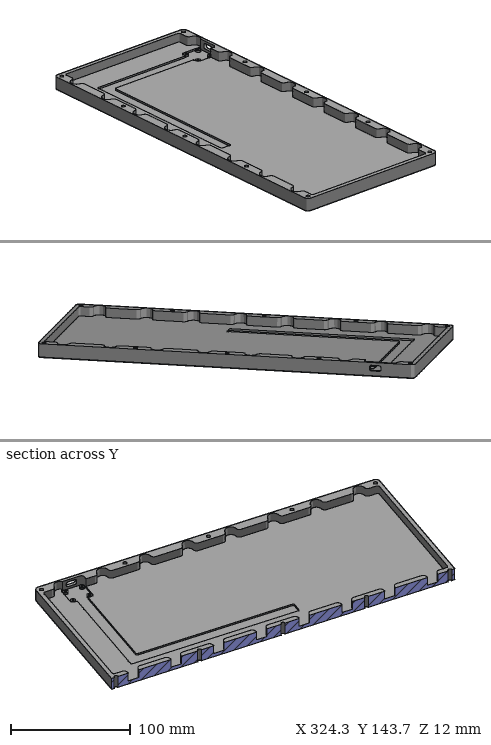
import cadquery as cq

length = 324.3
width = 143.7
height = 12.0
corner_radius = 3.5
bottom_chamfer = 0.5

floor_height = 4.0
end_wall = 4.0
pocket_corner_radius = 1.5
rail_width = 8.8
pocket_length = length - 2 * end_wall
pocket_width = width - 2 * rail_width

scallop_count = 8
scallop_span = 282.5
scallop_pitch = scallop_span / (scallop_count - 1)
scallop_radius = 5.2
scallop_wall = 1.3
mouth_radius = 3.2

screw_diameter = 3.2
screw_inset = 4.5
screw_columns = 5
screw_pitch = (length - 2 * screw_inset) / (screw_columns - 1)

recess_depth = 1.5
recess_floor = floor_height - recess_depth
connector_x = -128.5
connector_length = 21.0
connector_width = 20.0
connector_corner_radius = 2.5
connector_back_wall = 3.0
connector_back = width / 2 - connector_back_wall
connector_y = connector_back - connector_width / 2
channel_width = 10.5
channel_corner_radius = 1.0
channel_end_x = 25.3
channel_bottom_y = -48.5

boss_diameter = 4.5
boss_hole_diameter = 1.5
boss_spacing_x = 15.5
boss_spacing_y = 13.5
boss_center_y = connector_y - 0.5

plug_length = 9.7
plug_height = 5.0
plug_corner_radius = 1.5
plug_z = (recess_floor + height) / 2


def box(x_min, x_max, y_min, y_max, z_min, z_max):
    """Axis-aligned box between two corners."""
    return (
        cq.Workplane("XY", origin=(0, 0, z_min))
        .moveTo(x_min, y_min)
        .lineTo(x_max, y_min)
        .lineTo(x_max, y_max)
        .lineTo(x_min, y_max)
        .close()
        .extrude(z_max - z_min)
    )


def scallop(x, side):
    """Round notch with a flared mouth in the rail on the +Y (side=1) or -Y (side=-1) edge."""
    mouth_y = pocket_width / 2
    center_y = width / 2 - scallop_wall - scallop_radius
    flare_y = mouth_y + mouth_radius
    radii = scallop_radius + mouth_radius
    flare_dx = (radii**2 - (center_y - flare_y) ** 2) ** 0.5
    touch = scallop_radius / radii
    touch_dx = flare_dx * touch
    touch_y = center_y + (flare_y - center_y) * touch
    dir_x = (touch_dx - flare_dx) / mouth_radius
    dir_y = (touch_y - flare_y) / mouth_radius - 1
    norm = (dir_x**2 + dir_y**2) ** 0.5
    mid_dx = flare_dx + mouth_radius * dir_x / norm
    mid_y = flare_y + mouth_radius * dir_y / norm
    return (
        cq.Workplane("XY", origin=(0, 0, floor_height))
        .moveTo(x - flare_dx, side * mouth_y)
        .threePointArc((x - mid_dx, side * mid_y), (x - touch_dx, side * touch_y))
        .threePointArc((x, side * (center_y + scallop_radius)), (x + touch_dx, side * touch_y))
        .threePointArc((x + mid_dx, side * mid_y), (x + flare_dx, side * mouth_y))
        .close()
        .extrude(height - floor_height)
    )


def cable_channel():
    """L-shaped channel running from the connector recess along the floor."""
    left = connector_x - channel_width / 2
    right = connector_x + channel_width / 2
    top = channel_bottom_y + channel_width
    down = box(left, right, channel_bottom_y, connector_y, recess_floor, floor_height)
    across = box(left, channel_end_x, channel_bottom_y, top, recess_floor, floor_height)
    return down.union(across).edges("|Z").fillet(channel_corner_radius)


def connector_recess():
    """Rounded recess that cuts down through the rail and into the floor."""
    return (
        cq.Workplane("XY", origin=(connector_x, connector_y, recess_floor))
        .rect(connector_length, connector_width)
        .extrude(height - recess_floor)
        .edges("|Z")
        .fillet(connector_corner_radius)
    )


def connector_bosses():
    """Four drilled bosses, flush with the pocket floor."""
    return (
        cq.Workplane("XY", origin=(connector_x, boss_center_y, recess_floor))
        .rect(boss_spacing_x, boss_spacing_y, forConstruction=True)
        .vertices()
        .circle(boss_diameter / 2)
        .circle(boss_hole_diameter / 2)
        .extrude(recess_depth)
    )


def plug_slot():
    """Rounded slot through the back wall behind the connector."""
    return (
        cq.Workplane("XZ", origin=(connector_x, width / 2, plug_z))
        .rect(plug_length, plug_height)
        .extrude(connector_back_wall)
        .edges("|Y")
        .fillet(plug_corner_radius)
    )


def screw_holes():
    """Two rows of through holes along the long edges."""
    return (
        cq.Workplane("XY")
        .rarray(screw_pitch, width - 2 * screw_inset, screw_columns, 2)
        .circle(screw_diameter / 2)
        .extrude(height)
    )


result = cq.Workplane("XY").rect(length, width).extrude(height).edges("|Z").fillet(corner_radius)
result = result.faces("<Z").edges().chamfer(bottom_chamfer)

main_pocket = box(
    -pocket_length / 2, pocket_length / 2, -pocket_width / 2, pocket_width / 2, floor_height, height
)
result = result.cut(main_pocket.edges("|Z").fillet(pocket_corner_radius))

for index in range(scallop_count):
    scallop_x = (index - (scallop_count - 1) / 2) * scallop_pitch
    for side in (-1, 1):
        result = result.cut(scallop(scallop_x, side))

result = result.cut(cable_channel())
result = result.cut(connector_recess())
result = result.union(connector_bosses())
result = result.cut(plug_slot())
result = result.cut(screw_holes())